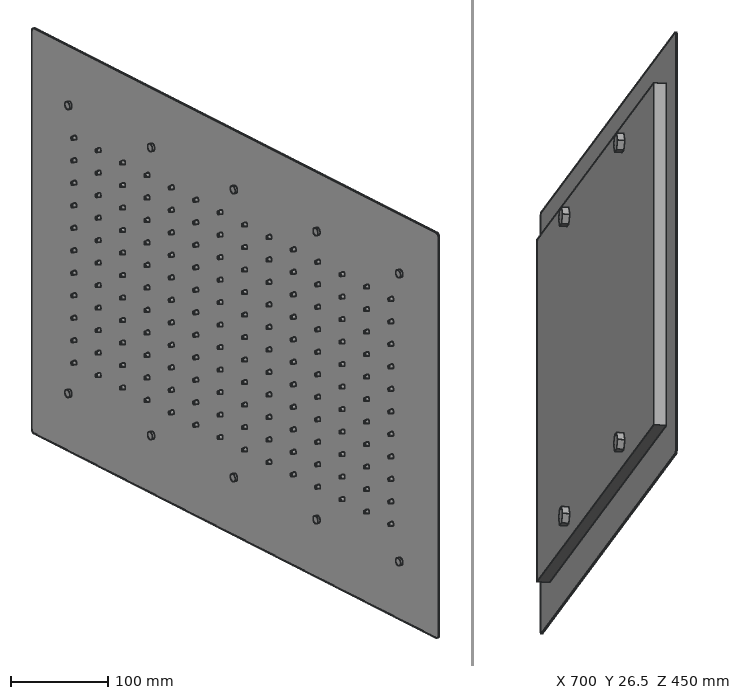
import cadquery as cq

overall_depth = 26.5

plate_width = 700.0
plate_height = 450.0
plate_thickness = 1.5
plate_corner_radius = 3.85

chamber_width = 605.0
chamber_height = 365.5
chamber_depth = 13.0

screw_columns = 5
screw_rows = 2
screw_span_x = 570.0
screw_span_z = 320.0
screw_diameter = 8.5
screw_head_height = 3.0

nozzle_columns = 14
nozzle_rows = 11
nozzle_span_x = 546.0
nozzle_span_z = 250.0
nozzle_center = (-2.0, 2.0)
nozzle_base_diameter = 5.0
nozzle_taper_angle = 10
nozzle_length = 4.0

inlet_columns = 2
inlet_rows = 2
inlet_span_x = screw_span_x / 2
inlet_span_z = screw_span_z
inlet_center = (0, 3.0)
inlet_across_corners = 20.0
inlet_height = overall_depth - nozzle_length - plate_thickness - chamber_depth


def frame_at(y):
    """Workplane at depth y whose local x, y and normal are +X, +Z and -Y."""
    return cq.Workplane("XZ", origin=(0, y, 0))


def grid_points(span_x, span_z, columns, rows, center=(0, 0)):
    """Evenly spaced (x, z) points filling a rectangle around a centre."""
    left = center[0] - span_x / 2
    bottom = center[1] - span_z / 2
    pitch_x = span_x / (columns - 1)
    pitch_z = span_z / (rows - 1)
    return [
        (left + column * pitch_x, bottom + row * pitch_z)
        for column in range(columns)
        for row in range(rows)
    ]


def make_plate():
    blank = frame_at(0).rect(plate_width, plate_height).extrude(plate_thickness)
    return blank.edges("|Y").fillet(plate_corner_radius)


def make_chamber():
    return frame_at(0).rect(chamber_width, chamber_height).extrude(-chamber_depth)


def make_front_studs(points, diameter, height, taper_angle=0):
    """Round studs on the front face of the plate; a taper angle narrows them towards the tip."""
    circles = frame_at(-plate_thickness).pushPoints(points).circle(diameter / 2)
    return circles.extrude(height, taper=taper_angle)


def make_inlets(points):
    """Hexagonal bosses that stand on the back of the chamber."""
    hexagons = frame_at(chamber_depth).pushPoints(points).polygon(6, inlet_across_corners)
    return hexagons.extrude(-inlet_height)


screw_points = grid_points(screw_span_x, screw_span_z, screw_columns, screw_rows)
nozzle_points = grid_points(
    nozzle_span_x, nozzle_span_z, nozzle_columns, nozzle_rows, nozzle_center
)
inlet_points = grid_points(inlet_span_x, inlet_span_z, inlet_columns, inlet_rows, inlet_center)

screws = make_front_studs(screw_points, screw_diameter, screw_head_height)
nozzles = make_front_studs(nozzle_points, nozzle_base_diameter, nozzle_length, nozzle_taper_angle)

result = (
    make_plate()
    .union(make_chamber())
    .union(make_inlets(inlet_points))
    .union(screws)
    .union(nozzles)
)